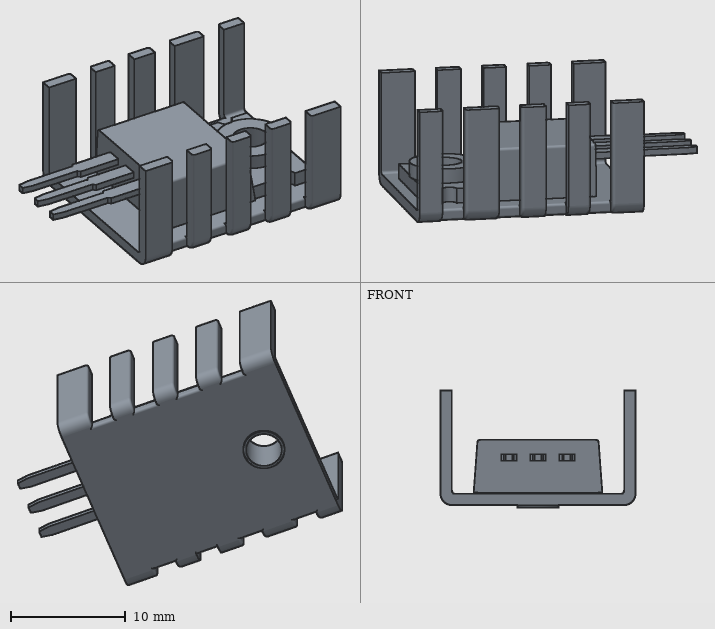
import cadquery as cq


sink_width = 17.0
sink_length = 20.0
sink_height = 10.0
sheet = 1.0
bend_inner_radius = 0.25
edge_radius = 0.23

plate_half_width = sink_width / 2 - sheet
fin_root_x = plate_half_width - bend_inner_radius

left_fins = [
    (0, 2.07, False, True),
    (4.12, 7.13, True, True),
    (9.13, 11.25, True, False),
    (13.25, 15.22, False, True),
    (17.22, sink_length, True, False),
]
right_fins = [
    (0, 3.0, False, True),
    (5.0, 7.1, True, True),
    (9.13, 11.12, True, True),
    (13.17, 15.15, True, True),
    (17.15, sink_length, True, False),
]

tab_width = 10.55
tab_back = 1.1
tab_front = 16.08
tab_thickness = 1.3
tab_notch_center = 3.35
tab_notch_radius = 0.65

mold_width = 11.23
mold_back = 6.95
mold_front = 16.35
mold_lift = 0.08
mold_top = 5.7
mold_side_draft = 0.35
mold_back_draft = 0.62
mold_edge_radius = 0.25

lead_count = 3
lead_pitch = 2.55
lead_bottom = 3.9
lead_thickness = 0.57
lead_wide = 1.35
lead_narrow = 0.88
lead_tip = 0.57
lead_shoulder = 20.23
lead_neck = 20.43
lead_taper = 24.95
lead_end = 25.93

eyelet_center = 4.0
eyelet_flange_diameter = 6.07
eyelet_flange_thickness = 1.27
eyelet_shank_diameter = 3.6
eyelet_bore = 3.1
eyelet_protrusion = 0.2

tab_top = sheet + tab_thickness


def make_fin(near, far, round_near, round_far):
    """Upright fin on the +X side together with the bend that joins it to the plate."""
    outer_x = sink_width / 2
    arc_part = 0.5 ** 0.5
    inner_center_z = sheet + bend_inner_radius
    fin = (
        cq.Workplane("XZ", origin=(0, -near, 0))
        .moveTo(fin_root_x, 0)
        .lineTo(plate_half_width, 0)
        .threePointArc(
            (plate_half_width + sheet * arc_part, sheet - sheet * arc_part),
            (outer_x, sheet),
        )
        .lineTo(outer_x, sink_height)
        .lineTo(plate_half_width, sink_height)
        .lineTo(plate_half_width, inner_center_z)
        .threePointArc(
            (
                fin_root_x + bend_inner_radius * arc_part,
                inner_center_z - bend_inner_radius * arc_part,
            ),
            (fin_root_x, sheet),
        )
        .close()
        .extrude(far - near)
    )
    if round_near:
        fin = fin.edges("|Z").edges(">Y").edges(">X").fillet(edge_radius)
    if round_far:
        fin = fin.edges("|Z").edges("<Y").edges(">X").fillet(edge_radius)
    return fin


def make_heatsink():
    sink = (
        cq.Workplane("XY", origin=(0, -sink_length, 0))
        .box(2 * plate_half_width, sink_length, sheet, centered=(True, False, False))
        .edges("|Y")
        .fillet(edge_radius)
    )
    for fin in right_fins:
        sink = sink.union(make_fin(*fin))
    for fin in left_fins:
        sink = sink.union(make_fin(*fin).mirror("YZ"))
    rivet_hole = (
        cq.Workplane("XY")
        .center(0, -eyelet_center)
        .circle(eyelet_shank_diameter / 2)
        .extrude(sheet)
    )
    return sink.cut(rivet_hole)


def make_tab():
    """Metal mounting tab with a half-round notch in each side and a hole for the eyelet."""
    tab_length = tab_front - tab_back
    return (
        cq.Workplane("XY", origin=(0, 0, sheet))
        .center(0, -tab_back - tab_length / 2)
        .rect(tab_width, tab_length)
        .extrude(tab_thickness)
        .cut(
            cq.Workplane("XY", origin=(0, 0, sheet))
            .pushPoints([(side * tab_width / 2, -tab_notch_center) for side in (-1, 1)])
            .circle(tab_notch_radius)
            .extrude(tab_thickness)
        )
        .cut(
            cq.Workplane("XY", origin=(0, -eyelet_center, sheet))
            .circle(eyelet_shank_diameter / 2)
            .extrude(tab_thickness)
        )
    )


def make_mold():
    """Plastic block: sides and back lean inward, with rounded top edges; the front is upright."""
    bottom = sheet + mold_lift
    half_bottom = mold_width / 2
    half_top = half_bottom - mold_side_draft
    top_back = mold_back + mold_back_draft
    front_outline = (
        cq.Workplane("XZ", origin=(0, -mold_back, 0))
        .polyline(
            [(-half_bottom, bottom), (half_bottom, bottom), (half_top, mold_top), (-half_top, mold_top)]
        )
        .close()
        .extrude(mold_front - mold_back)
    )
    side_outline = (
        cq.Workplane("YZ")
        .polyline(
            [(-mold_front, bottom), (-mold_back, bottom), (-top_back, mold_top), (-mold_front, mold_top)]
        )
        .close()
        .extrude(half_bottom, both=True)
    )
    mold = front_outline.intersect(side_outline)
    return mold.faces(">Z").edges("not <Y").fillet(mold_edge_radius)


def make_lead(center_x):
    """Flat lead, wide near the moulding, then narrow with a tapered tip."""
    right_side = [
        (lead_wide / 2, -mold_front),
        (lead_wide / 2, -lead_shoulder),
        (lead_narrow / 2, -lead_neck),
        (lead_narrow / 2, -lead_taper),
        (lead_tip / 2, -lead_end),
    ]
    left_side = [(-x, y) for x, y in reversed(right_side)]
    return (
        cq.Workplane("XY", origin=(center_x, 0, lead_bottom))
        .polyline(right_side + left_side)
        .close()
        .extrude(lead_thickness)
    )


def make_transistor():
    transistor = make_tab().union(make_mold())
    for index in range(lead_count):
        center_x = (index - (lead_count - 1) / 2) * lead_pitch
        transistor = transistor.union(make_lead(center_x))
    return transistor


def make_eyelet():
    """Flanged bush that passes through the tab and the plate."""
    shank = (
        cq.Workplane("XY", origin=(0, -eyelet_center, -eyelet_protrusion))
        .circle(eyelet_shank_diameter / 2)
        .extrude(eyelet_protrusion + tab_top)
    )
    flange = (
        cq.Workplane("XY", origin=(0, -eyelet_center, tab_top))
        .circle(eyelet_flange_diameter / 2)
        .extrude(eyelet_flange_thickness)
    )
    bush = shank.union(flange)
    return bush.faces(">Z").workplane(origin=(0, -eyelet_center)).circle(eyelet_bore / 2).cutThruAll()


heatsink = make_heatsink()
transistor = make_transistor()
eyelet = make_eyelet()

result = cq.Compound.makeCompound([heatsink.val(), transistor.val(), eyelet.val()])